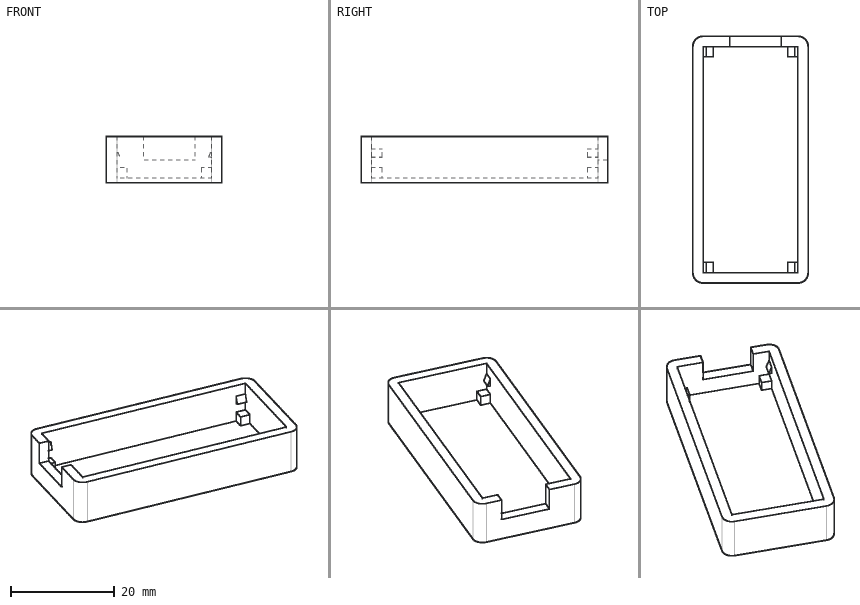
import cadquery as cq

width = 22.4
length = 47.9
height = 9.0
wall = 2.0
floor = 1.0
corner_radius = wall

notch_width = 10.0
notch_offset = 1.0
notch_sill = 4.5

post_side = 2.0
post_height = 2.0

catch_length = post_side
catch_reach = 0.57
catch_top = 6.6
catch_ramp_drop = 1.55
catch_total_drop = 1.65

inner_width = width - 2 * wall
inner_length = length - 2 * wall


def make_tray():
    body = cq.Workplane("XY").box(width, length, height, centered=(True, True, False))
    body = body.edges("|Z").fillet(corner_radius)
    cavity = cq.Workplane("XY").workplane(offset=floor).rect(inner_width, inner_length)
    return body.cut(cavity.extrude(height - floor))


def make_notch():
    notch = cq.Workplane("XY").box(notch_width, wall, height - notch_sill, centered=(True, True, False))
    return notch.translate((notch_offset, (length - wall) / 2, notch_sill))


def make_post():
    """Post standing in the +X, +Y corner of the cavity."""
    post = cq.Workplane("XY").box(post_side, post_side, post_height, centered=(True, True, False))
    return post.translate(((inner_width - post_side) / 2, (inner_length - post_side) / 2, floor))


def make_catch():
    """Triangular catch on the +X wall, at the +Y end of the cavity."""
    wall_x = inner_width / 2
    profile = [
        (wall_x, catch_top),
        (wall_x - catch_reach, catch_top - catch_ramp_drop),
        (wall_x, catch_top - catch_total_drop),
    ]
    catch = cq.Workplane("XZ", origin=(0, inner_length / 2, 0))
    return catch.polyline(profile).close().extrude(catch_length)


result = make_tray().cut(make_notch())

for feature in (make_post(), make_catch()):
    pair = feature.union(feature.mirror("YZ"))
    result = result.union(pair).union(pair.mirror("XZ"))